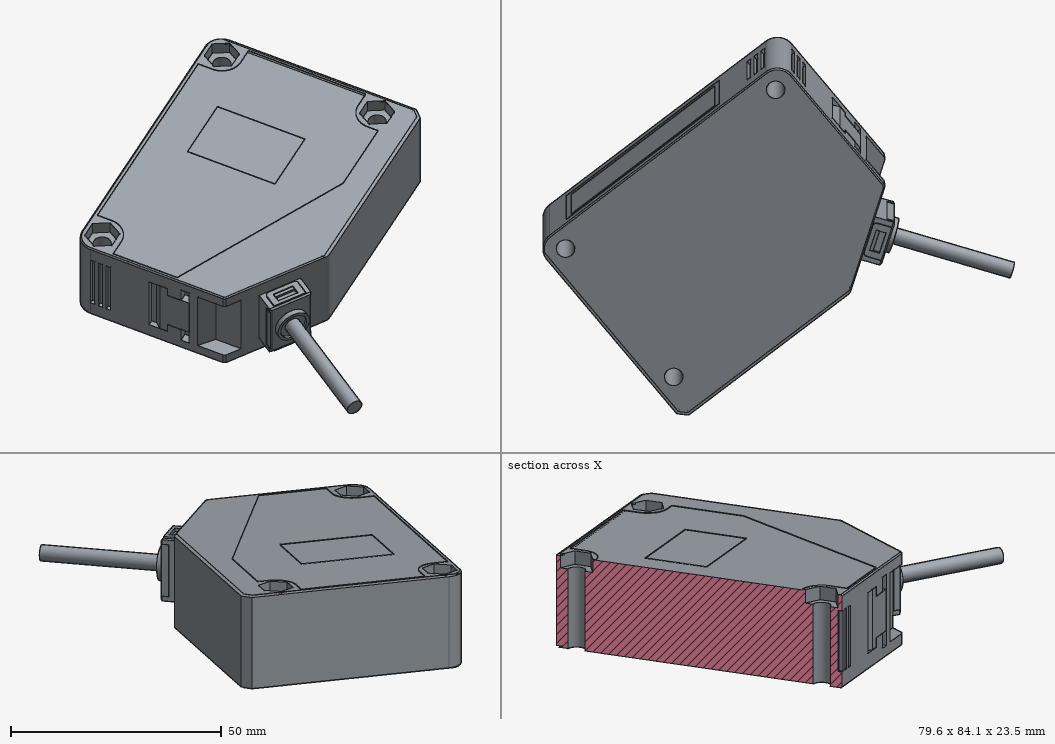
import cadquery as cq
import math

width = 55.9
length = 74.5
height = 23.5
mid_height = height / 2
front_width = 40.0
side_start = 23.4
corner_radius = 4.4
back_corner_chamfer = 2.0
slant_edge_chamfer = 0.4
rim_chamfer = 0.3
rim_wide = 0.75

seat_inset_x = 4.9
seat_inset_y = 5.3
right_seat_x = 46.1
hole_diameter = 4.4
hex_across_flats = 7.2
hex_depth = 3.4
seat_radius = 5.05
seat_centers = [
    (seat_inset_x, seat_inset_y),
    (seat_inset_x, length - seat_inset_y),
    (right_seat_x, length - seat_inset_y),
]

panel_left = 1.1
panel_right = 48.9
panel_front = 1.0
panel_back = 73.3
panel_bend = 45.5
panel_front_right = 26.9
panel_depth = 0.2
label_width = 23.2
label_length = 16.0
label_center = (22.8, 46.2)
label_depth = 0.2

window_center = 41.9
window_length = 46.5
window_height = 17.4
window_frame = 1.4
window_step = 0.1

slot_width = 1.1
slot_depth = 1.0
slot_pitch = 2.1
slot_count = 3
front_slot_start = 4.4
front_slot_height = 15.2
left_slot_start = 4.8
left_slot_height = 13.4

latch_left = 19.9
latch_ramp_start = 21.3
latch_ramp_end = 22.8
latch_neck = 24.8
latch_groove_depth = 1.35
latch_depth = 0.1
latch_head_height = 15.2
latch_neck_height = 10.4
notch_left = 28.4
notch_right = 30.6
notch_height = 3.7
notch_depth = 2.1

pocket_left = 32.8
pocket_floor_left = 35.8
pocket_depth = 3.7
pocket_height = 17.3

gland_center = 15.05
gland_width = 11.3
gland_height = 15.3
gland_length = 5.4
gland_edge_chamfer = 0.4
pad_width = 8.7
pad_start = 0.5
pad_thickness = 0.4
pad_corner_radius = 0.8
catch_width = 5.3
catch_start = 1.6
catch_step = 2.4
catch_end = 4.0
catch_shallow_depth = 0.25
catch_deep_depth = 0.8
cheek_start = 3.4
cheek_height = 12.95
cheek_depth = 0.2
collar_diameter = 8.6
collar_end = 6.7
collar_recess_diameter = 7.1
collar_recess_depth = 0.7
cable_diameter = 3.95
cable_end = 36.25

slant_x = width - front_width
slant_length = math.hypot(slant_x, side_start)
along = (slant_x / slant_length, side_start / slant_length, 0)
outward = (along[1], -along[0], 0)
slant_plane = cq.Plane(origin=(front_width, 0, 0), xDir=along, normal=outward)


def box(x_range, y_range, z_range):
    """Box between two limits on each axis."""
    sizes = [limits[1] - limits[0] for limits in (x_range, y_range, z_range)]
    corner = (x_range[0], y_range[0], z_range[0])
    return cq.Workplane("XY").box(*sizes, centered=False).translate(corner)


def around_middle(full_height):
    """Z limits of a feature centred on the middle of the housing."""
    return (mid_height - full_height / 2, mid_height + full_height / 2)


def gland_block(block_width, start, end, z_range):
    """Block on the slanted face, centred on the gland."""
    block_height = z_range[1] - z_range[0]
    return (
        cq.Workplane(slant_plane)
        .workplane(offset=start)
        .center(gland_center, sum(z_range) / 2)
        .rect(block_width, block_height)
        .extrude(end - start)
    )


def gland_cylinder(diameter, start, end):
    """Round feature on the cable axis."""
    return (
        cq.Workplane(slant_plane)
        .workplane(offset=start)
        .center(gland_center, mid_height)
        .circle(diameter / 2)
        .extrude(end - start)
    )


def wide_rim_cutter(start, end):
    """Prism that bevels the upper rim along one straight side, walked counterclockwise."""
    run = math.hypot(end[0] - start[0], end[1] - start[1])
    direction = ((end[0] - start[0]) / run, (end[1] - start[1]) / run, 0)
    inward = (-direction[1], direction[0], 0)
    backward = (-direction[0], -direction[1], 0)
    plane = cq.Plane(origin=(*end, height), xDir=inward, normal=backward)
    overrun = 0.8
    slope = rim_chamfer / rim_wide
    profile = [
        (rim_wide + overrun, slope * overrun),
        (-overrun, slope * overrun),
        (-overrun, -rim_chamfer - slope * overrun),
    ]
    return (
        cq.Workplane(plane)
        .workplane(offset=-overrun)
        .polyline(profile)
        .close()
        .extrude(run + 2 * overrun)
    )


def make_housing():
    """Five-sided housing with beveled rims on both broad faces."""
    body = (
        cq.Workplane("XY")
        .polyline([(0, 0), (front_width, 0), (width, side_start), (width, length), (0, length)])
        .close()
        .extrude(height)
    )
    slant_ends = [(front_width, 0, mid_height), (width, side_start, mid_height)]
    for slant_end in slant_ends:
        body = body.edges(cq.NearestToPointSelector(slant_end)).chamfer(slant_edge_chamfer)
    body = body.edges("|Z and <X").fillet(corner_radius)
    body = body.edges("|Z and >X and >Y").chamfer(back_corner_chamfer)
    body = body.faces("<Z or >Z").chamfer(rim_chamfer)

    corner_side = (width, length - back_corner_chamfer)
    corner_back = (width - back_corner_chamfer, length)
    wide_sides = [
        ((width, side_start), corner_side),
        (corner_side, corner_back),
        (corner_back, (0, length)),
    ]
    for start, end in wide_sides:
        cutter = wide_rim_cutter(start, end)
        body = body.cut(cutter)
        body = body.cut(cutter.mirror("XY", (0, 0, mid_height)))
    return body


def screw_seats():
    """Through holes with hexagonal nut pockets in the top."""
    seats = cq.Workplane("XY")
    for seat in seat_centers:
        hole = cq.Workplane("XY").center(*seat).circle(hole_diameter / 2).extrude(height)
        pocket = (
            cq.Workplane("XY", origin=(*seat, height - hex_depth))
            .transformed(rotate=(0, 0, 90))
            .polygon(6, hex_across_flats / math.cos(math.pi / 6))
            .extrude(hex_depth)
        )
        seats = seats.add(hole.union(pocket))
    return seats.combine()


def top_panel():
    """Shallow panel recess that leaves a land around each screw seat, with a deeper label."""
    floor = height - panel_depth
    panel = (
        cq.Workplane("XY", origin=(0, 0, floor))
        .polyline(
            [
                (panel_left, panel_front),
                (panel_front_right, panel_front),
                (panel_right, panel_bend),
                (panel_right, panel_back),
                (panel_left, panel_back),
            ]
        )
        .close()
        .extrude(panel_depth)
    )
    for x, y in seat_centers:
        to_x = math.copysign(1, width / 2 - x)
        to_y = math.copysign(1, length / 2 - y)
        reach = 2 * seat_radius
        land = (
            cq.Workplane("XY", origin=(x, y, floor))
            .moveTo(-to_x * reach, to_y * seat_radius)
            .lineTo(0, to_y * seat_radius)
            .threePointArc(
                (to_x * seat_radius * math.sqrt(0.5), to_y * seat_radius * math.sqrt(0.5)),
                (to_x * seat_radius, 0),
            )
            .lineTo(to_x * seat_radius, -to_y * reach)
            .lineTo(-to_x * reach, -to_y * reach)
            .close()
            .extrude(panel_depth)
        )
        panel = panel.cut(land)
    label = (
        cq.Workplane("XY", origin=(*label_center, floor - label_depth))
        .rect(label_width, label_length)
        .extrude(label_depth)
    )
    return panel.union(label)


def sensing_window():
    """Stepped window recess in the left face."""
    outer = (
        cq.Workplane("YZ")
        .center(window_center, mid_height)
        .rect(window_length, window_height)
        .extrude(window_step)
    )
    inner = (
        cq.Workplane("YZ")
        .center(window_center, mid_height)
        .rect(window_length - 2 * window_frame, window_height - 2 * window_frame)
        .extrude(2 * window_step)
    )
    return outer.union(inner)


def grip_slots():
    """Rows of upright slots on both sides of the front left corner."""
    slots = cq.Workplane("XY")
    for index in range(slot_count):
        x = front_slot_start + index * slot_pitch
        y = left_slot_start + index * slot_pitch
        slots = slots.add(box((x, x + slot_width), (0, slot_depth), around_middle(front_slot_height)))
        slots = slots.add(box((0, slot_depth), (y, y + slot_width), around_middle(left_slot_height)))
    return slots.combine()


def snap_joint():
    """T-shaped latch recess: a grooved head, a neck, and a notch on each side of the neck end."""
    head = (
        cq.Workplane("XY", origin=(0, 0, mid_height - latch_head_height / 2))
        .polyline(
            [
                (latch_left, 0),
                (latch_left, latch_groove_depth),
                (latch_ramp_start, latch_groove_depth),
                (latch_ramp_end, latch_depth),
                (latch_neck, latch_depth),
                (latch_neck, 0),
            ]
        )
        .close()
        .extrude(latch_head_height)
    )
    neck = box((latch_neck, notch_right), (0, latch_depth), around_middle(latch_neck_height))
    upper_start = mid_height + latch_neck_height / 2
    upper_notch = box(
        (notch_left, notch_right), (0, notch_depth), (upper_start, upper_start + notch_height)
    )
    lower_notch = upper_notch.mirror("XY", (0, 0, mid_height))
    return head.union(neck).union(upper_notch).union(lower_notch)


def corner_pocket():
    """Pocket with a sloped left wall, open toward the front and slanted faces."""
    return (
        cq.Workplane("XY", origin=(0, 0, mid_height - pocket_height / 2))
        .polyline(
            [
                (pocket_left, 0),
                (pocket_floor_left, pocket_depth),
                (width, pocket_depth),
                (width, 0),
            ]
        )
        .close()
        .extrude(pocket_height)
    )


def cable_gland():
    """Rectangular gland with raised pads, snap catches, cheeks, a collar and the cable."""
    half_height = gland_height / 2
    gland = gland_block(gland_width, 0, gland_length, around_middle(gland_height))
    end_face = cq.selectors.DirectionMinMaxSelector(cq.Vector(*outward))
    gland = gland.faces(end_face).chamfer(gland_edge_chamfer)

    pad_top = mid_height + half_height + pad_thickness
    pad_end = gland_length - gland_edge_chamfer
    pad = gland_block(pad_width, pad_start, pad_end, (mid_height, pad_top))
    inner_edges = cq.selectors.DirectionMinMaxSelector(cq.Vector(*outward), directionMax=False)
    pad = pad.edges("|Z").edges(inner_edges).fillet(pad_corner_radius)
    shallow = gland_block(
        catch_width, catch_start, catch_step, (pad_top - catch_shallow_depth, pad_top)
    )
    deep = gland_block(catch_width, catch_step, catch_end, (pad_top - catch_deep_depth, pad_top))
    catch = shallow.union(deep)
    gland = gland.union(pad).union(pad.mirror("XY", (0, 0, mid_height)))
    gland = gland.cut(catch).cut(catch.mirror("XY", (0, 0, mid_height)))

    cheek_range = around_middle(cheek_height)
    cheeks = gland_block(2 * gland_width, cheek_start, gland_length, cheek_range).cut(
        gland_block(gland_width - 2 * cheek_depth, 0, gland_length, cheek_range)
    )
    gland = gland.cut(cheeks)

    collar = gland_cylinder(collar_diameter, gland_length, collar_end)
    recess = gland_cylinder(collar_recess_diameter, collar_end - collar_recess_depth, collar_end)
    cable = gland_cylinder(cable_diameter, gland_length, cable_end)
    return gland.union(collar.cut(recess)).union(cable)


result = make_housing()
for recess in (
    screw_seats(),
    top_panel(),
    sensing_window(),
    grip_slots(),
    snap_joint(),
    corner_pocket(),
):
    result = result.cut(recess)
result = result.union(cable_gland())